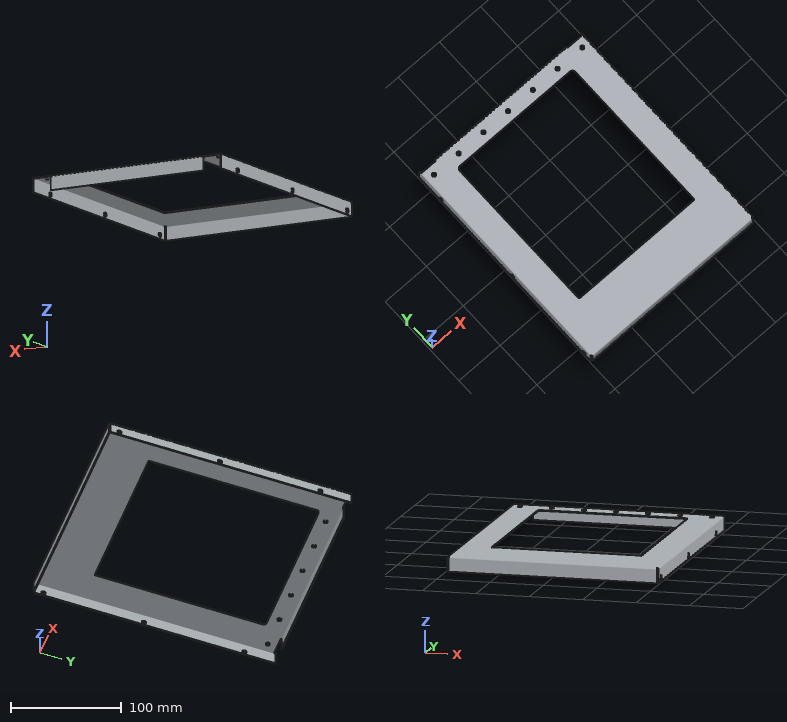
import cadquery as cq

width = 198.0
length = 234.0
height = 14.0

thickness = 1.0
bend_radius = 1.5
inner_radius = bend_radius - thickness

corner_inset = 1.7
front_flange_width = width - 2 * corner_inset

rear_flange_width = 160.0

rear_notch_depth = 1.6

window_width = 140.0
window_length = 165.0
window_rear_margin = 20.0
window_corner_radius = 3.0

screw_count = 7
screw_spacing = 30.0
screw_rear_margin = 10.5
screw_diameter = 2.0
countersink_diameter = 4.0
countersink_angle = 90.0
screw_hole_depth = 2 * thickness

side_hole_diameter = 4.0
side_hole_count = 3
side_hole_spacing = 97.0
side_hole_front_margin = 10.0
side_hole_height = 3.75

top = height / 2
bottom = -height / 2
flat_width = width - 2 * bend_radius
flat_length = length - 2 * bend_radius
rear = length / 2
front = -length / 2


def flat_plate():
    """Flat top sheet, ending where the bends start."""
    plate = cq.Workplane("XY").workplane(offset=top - thickness)
    return plate.rect(flat_width, flat_length).extrude(thickness)


def rear_notch(side):
    """Cutter that sets the sheet edge back between the rear flange and a side flange."""
    notch_width = (flat_width - rear_flange_width) / 2
    notch_x = side * (flat_width + rear_flange_width) / 4
    return (
        cq.Workplane("XY")
        .center(notch_x, rear - rear_notch_depth / 2)
        .rect(notch_width, rear_notch_depth)
        .extrude(top)
    )


def flange(bend_line_center, outward, run):
    """Quarter-round bend and downward flange, spread evenly about a point of its bend line."""
    profile_normal = (outward[1], -outward[0], 0)
    plane = cq.Plane(origin=bend_line_center, xDir=outward, normal=profile_normal)
    return (
        cq.Workplane(plane)
        .radiusArc((bend_radius, -bend_radius), bend_radius)
        .lineTo(bend_radius, -height)
        .lineTo(inner_radius, -height)
        .lineTo(inner_radius, -bend_radius)
        .radiusArc((0, -thickness), -inner_radius)
        .close()
        .extrude(run / 2, both=True)
    )


def side_flange(side):
    """Flange on the side of sign `side`, from the open front corner to the rear edge."""
    center_y = (rear + front + corner_inset) / 2
    run = length - corner_inset
    return flange((side * flat_width / 2, center_y, top), (side, 0, 0), run)


def end_flange(side, flange_width):
    """Flange across the rear (side = 1) or the front (side = -1)."""
    return flange((0, side * flat_length / 2, top), (0, side, 0), flange_width)


def window():
    """Window cutter with its two rear corners rounded."""
    center_y = rear - window_rear_margin - window_length / 2
    return (
        cq.Workplane("XY")
        .center(0, center_y)
        .rect(window_width, window_length)
        .extrude(top)
        .edges("|Z and >Y")
        .fillet(window_corner_radius)
    )


def drill_screw_holes(body):
    """Countersunk through holes in the top sheet."""
    first_x = -screw_spacing * (screw_count - 1) / 2
    points = [(first_x + i * screw_spacing, rear - screw_rear_margin) for i in range(screw_count)]
    return (
        cq.Workplane("XY", origin=(0, 0, top))
        .add(body)
        .pushPoints(points)
        .cskHole(screw_diameter, countersink_diameter, countersink_angle, screw_hole_depth)
    )


def side_holes():
    """Cylinders that cut the holes through both side flanges."""
    first_y = front + side_hole_front_margin
    points = [
        (first_y + i * side_hole_spacing, bottom + side_hole_height)
        for i in range(side_hole_count)
    ]
    return (
        cq.Workplane("YZ", origin=(-width / 2, 0, 0))
        .pushPoints(points)
        .circle(side_hole_diameter / 2)
        .extrude(width)
    )


panel = flat_plate()
panel = panel.union(end_flange(-1, front_flange_width))
panel = panel.union(end_flange(1, rear_flange_width))
for side_sign in (-1, 1):
    panel = panel.union(side_flange(side_sign))
    panel = panel.cut(rear_notch(side_sign))
panel = panel.cut(window()).cut(side_holes())

result = drill_screw_holes(panel)